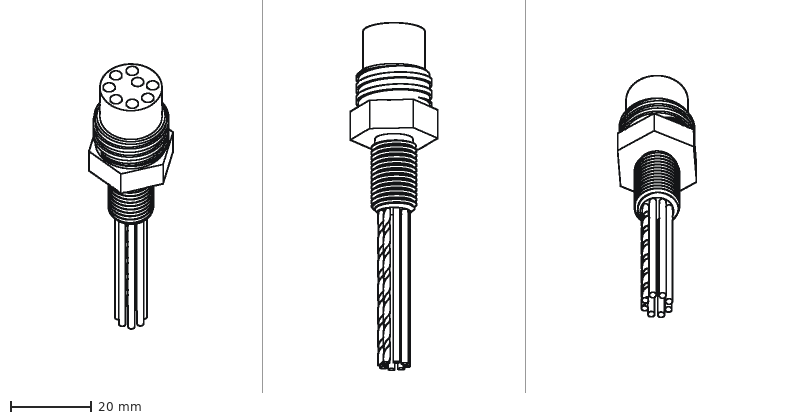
import cadquery as cq
import math

HEX_HEIGHT = 7.4
COLLAR_HEIGHT = 9.7
INSERT_HEIGHT = 10.9
STEM_LENGTH = 19.0
WIRE_LENGTH = 40.0
COLLAR_TOP = HEX_HEIGHT + COLLAR_HEIGHT
INSERT_TOP = COLLAR_TOP + INSERT_HEIGHT

HEX_ACROSS_FLATS = 19.0
INSERT_DIAMETER = 15.5
COLLAR_ROOT_RADIUS = 17.9 / 2
COLLAR_TOP_RADIUS = 17.0 / 2
STEM_ROOT_RADIUS = 9.5 / 2
STEM_END_RADIUS = 4.15

COLLAR_CREST_RADIUS = 18.9 / 2
COLLAR_PITCH = 3.1
COLLAR_ROOT_WIDTH = COLLAR_PITCH / 2
COLLAR_CREST_WIDTH = 1.3
COLLAR_THREAD_LENGTH = 8.2
COLLAR_THREAD_PHASE = 1.87

STEM_CREST_RADIUS = 11.3 / 2
STEM_PITCH = 1.27
STEM_ROOT_WIDTH = 1.1
STEM_CREST_WIDTH = 0.2
STEM_NECK_LENGTH = 1.9
STEM_THREAD_PHASE = 2.8

HOLE_DIAMETER = 3.0
HOLE_DEPTH = 8.0
HOLE_CIRCLE_RADIUS = 5.45
HOLE_COUNT = 7
HOLE_ARC_GAP = 80.0
INNER_HOLE_Y = 2.42

WIRE_RADIUS = 1.7 / 2
WIRE_CIRCLE_RADIUS = 3.2
WIRE_COUNT = 8
STRIPED_WIRES = (3, 4)
STRIPE_PITCH = 6.07
STRIPE_WIDTH = 1.9
STRIPE_DEPTH = 0.12
STRIPE_PHASE = 4.0

OVERLAP = 0.1


def helical_band(inner_radius, outer_radius, inner_width, outer_width, pitch, turns):
    """Right-handed band with a trapezoid section, centred on Z = 0 where it starts on +X."""
    path = cq.Wire.makeHelix(pitch, pitch * turns, inner_radius)
    section = cq.Workplane("XZ").polyline([
        (inner_radius, -inner_width / 2),
        (outer_radius, -outer_width / 2),
        (outer_radius, outer_width / 2),
        (inner_radius, inner_width / 2),
    ]).close()
    return section.sweep(cq.Workplane(path), isFrenet=True)


def cylinder(radius, bottom, height):
    return cq.Workplane("XY").workplane(offset=bottom).circle(radius).extrude(height)


def end_chamfered_rod(radius, end_radius, start, end):
    """Rod along Z whose 'end' face is cut back at 45 degrees to 'end_radius'."""
    drop = math.copysign(radius - end_radius, end - start)
    outline = [(0, start), (radius, start), (radius, end - drop), (end_radius, end), (0, end)]
    return cq.Workplane("XZ").polyline(outline).close().revolve(360, (0, 0), (0, 1))


def make_hex():
    corner_diameter = HEX_ACROSS_FLATS / math.cos(math.radians(30))
    return cq.Workplane("XY").polygon(6, corner_diameter).extrude(HEX_HEIGHT)


def make_collar():
    core = end_chamfered_rod(COLLAR_ROOT_RADIUS, COLLAR_TOP_RADIUS, HEX_HEIGHT, COLLAR_TOP)
    envelope = end_chamfered_rod(
        COLLAR_CREST_RADIUS + OVERLAP, COLLAR_TOP_RADIUS, COLLAR_TOP - COLLAR_THREAD_LENGTH, COLLAR_TOP
    )
    turns = math.ceil(COLLAR_THREAD_LENGTH / COLLAR_PITCH) + 1
    start = COLLAR_TOP - COLLAR_THREAD_PHASE - (turns - 1) * COLLAR_PITCH
    thread = helical_band(
        COLLAR_ROOT_RADIUS - OVERLAP, COLLAR_CREST_RADIUS,
        COLLAR_ROOT_WIDTH, COLLAR_CREST_WIDTH, COLLAR_PITCH, turns,
    ).translate((0, 0, start))
    return core.union(thread.intersect(envelope))


def make_stem():
    core = end_chamfered_rod(STEM_ROOT_RADIUS, STEM_END_RADIUS, 0, -STEM_LENGTH)
    envelope = end_chamfered_rod(
        STEM_CREST_RADIUS + OVERLAP, STEM_END_RADIUS, -STEM_NECK_LENGTH, -STEM_LENGTH
    )
    turns = math.ceil((STEM_LENGTH - STEM_NECK_LENGTH) / STEM_PITCH) + 1
    start = -STEM_THREAD_PHASE - (turns - 2) * STEM_PITCH
    thread = helical_band(
        STEM_ROOT_RADIUS - OVERLAP, STEM_CREST_RADIUS,
        STEM_ROOT_WIDTH, STEM_CREST_WIDTH, STEM_PITCH, turns,
    ).translate((0, 0, start))
    return core.union(thread.intersect(envelope))


def make_insert():
    insert = cylinder(INSERT_DIAMETER / 2, COLLAR_TOP, INSERT_HEIGHT)
    step = (360 - HOLE_ARC_GAP) / (HOLE_COUNT - 1)
    centres = [(0, INNER_HOLE_Y)]
    for index in range(HOLE_COUNT):
        angle = math.radians(90 + HOLE_ARC_GAP / 2 + index * step)
        centres.append((HOLE_CIRCLE_RADIUS * math.cos(angle), HOLE_CIRCLE_RADIUS * math.sin(angle)))
    return (
        insert.faces(">Z").workplane(origin=(0, 0, INSERT_TOP))
        .pushPoints(centres).hole(HOLE_DIAMETER, HOLE_DEPTH)
    )


def make_wire(striped):
    """Wire standing on Z = 0, optionally with a shallow helical stripe."""
    wire = cylinder(WIRE_RADIUS, 0, WIRE_LENGTH)
    if not striped:
        return wire
    turns = math.ceil(WIRE_LENGTH / STRIPE_PITCH) + 1
    stripe = helical_band(
        WIRE_RADIUS - STRIPE_DEPTH, WIRE_RADIUS + OVERLAP,
        STRIPE_WIDTH, STRIPE_WIDTH, STRIPE_PITCH, turns,
    ).translate((0, 0, STRIPE_PHASE - STRIPE_PITCH))
    return wire.rotate((0, 0, 0), (0, 0, 1), 90).cut(stripe)


result = make_hex().union(make_collar()).union(make_insert()).union(make_stem())
for index in range(WIRE_COUNT):
    wire = make_wire(index in STRIPED_WIRES)
    wire = wire.translate((WIRE_CIRCLE_RADIUS, 0, -STEM_LENGTH - WIRE_LENGTH))
    result = result.union(wire.rotate((0, 0, 0), (0, 0, 1), index * 360 / WIRE_COUNT))